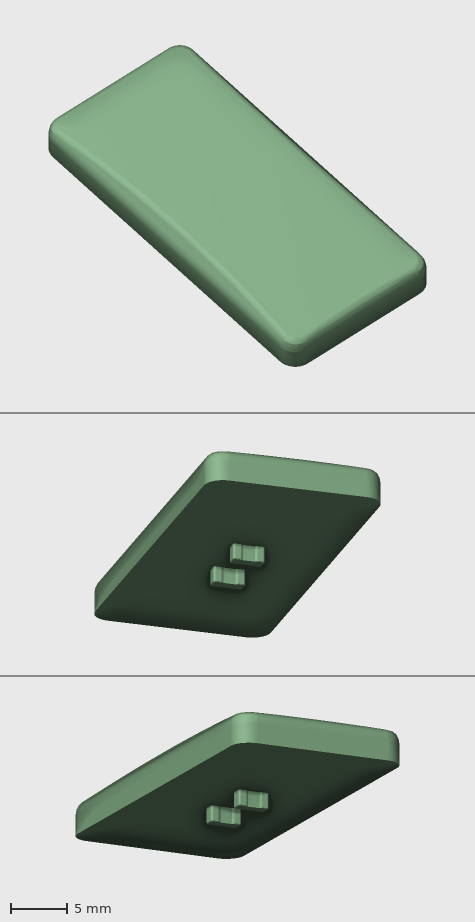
import cadquery as cq
import math

length = 35.17
width = 16.45
corner_radius = 1.75

wall_height = 1.95
wall_lean = 39.0
wall_blend_radius = 1.48
blend_setback = wall_blend_radius * math.tan(math.radians(wall_lean) / 2)
bend_height = wall_height + blend_setback

cap_height = 3.9
dome_radius = 193.45
rim_radius = 0.7

prong_spacing = 5.7
prong_thickness = 1.2
prong_width = 3.0
prong_length = 1.48
prong_edge_radius = 0.2
prong_tip_chamfer = 0.07
recess_floor_width = 1.13
recess_mouth_width = 1.55
recess_depth = 0.1

blank_extra = 0.18
prong_overlap = 0.35


def rounded_outline(z):
    sketch = cq.Sketch().rect(length, width).vertices().fillet(corner_radius)
    return cq.Workplane("XY").workplane(offset=z).placeSketch(sketch)


def make_cap():
    lower = rounded_outline(0).extrude(bend_height)
    upper = rounded_outline(bend_height).extrude(cap_height + blank_extra - bend_height, taper=wall_lean)
    blank = lower.union(upper, clean=False)
    margin = 0.05
    bend_loop = cq.selectors.BoxSelector(
        (-length, -width, bend_height - margin),
        (length, width, bend_height + margin),
    )
    blank = blank.edges(bend_loop).fillet(wall_blend_radius)
    ball = cq.Workplane("XY").sphere(dome_radius).rotate((0, 0, 0), (0, 1, 0), 90)
    dome = ball.translate((0, 0, cap_height - dome_radius))
    cap = blank.intersect(dome)
    return cap.faces(">Z").edges().fillet(rim_radius)


def make_prong(x):
    """Prong with a shallow flared recess down both of its broad faces."""
    prong = (
        cq.Workplane("XY")
        .rect(prong_thickness, prong_width)
        .extrude(-prong_length)
        .edges("|Z").fillet(prong_edge_radius)
        .faces("<Z").chamfer(prong_tip_chamfer)
    )
    face_x = prong_thickness / 2
    floor_x = face_x - recess_depth
    recess = (
        cq.Workplane("XY")
        .polyline([
            (face_x, -recess_mouth_width / 2),
            (floor_x, -recess_floor_width / 2),
            (floor_x, recess_floor_width / 2),
            (face_x, recess_mouth_width / 2),
        ])
        .close()
        .extrude(-prong_length)
    )
    root = cq.Workplane("XY").rect(prong_thickness / 2, prong_width / 2).extrude(prong_overlap)
    prong = prong.cut(recess).cut(recess.mirror("YZ")).union(root)
    return prong.translate((x, 0, 0))


result = make_cap()
for side in (-1, 1):
    result = result.union(make_prong(side * prong_spacing / 2))